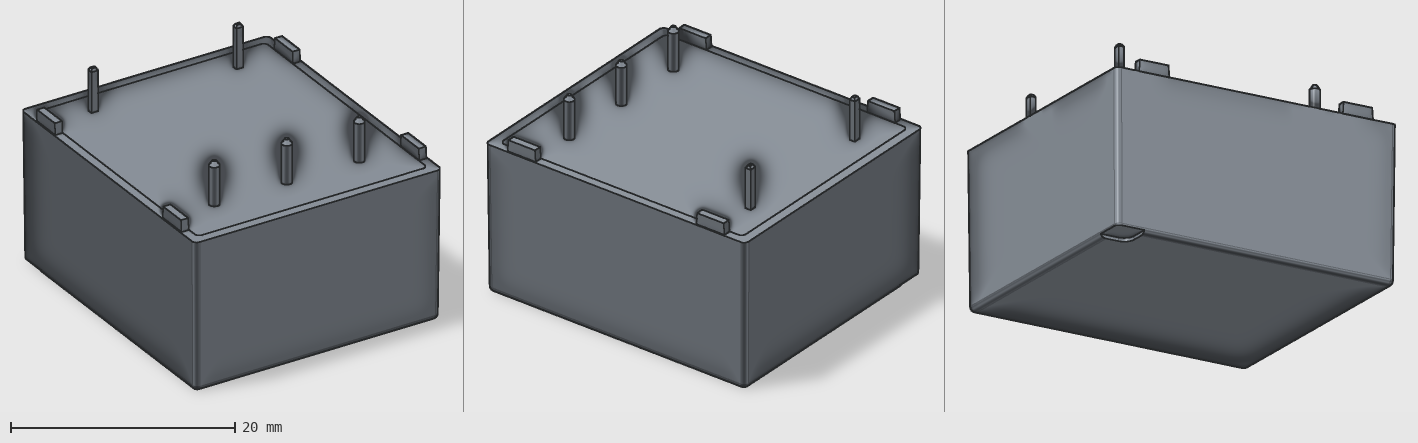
import cadquery as cq

LENGTH = 29.2
WIDTH = 26.0
HEIGHT = 15.27
DRAFT_ANGLE = 0.5
UPRIGHT_EDGE_RADIUS = 0.5
UNDERSIDE_RADIUS = 0.55

END_WALL = 1.0
SIDE_WALL = 0.9
FLOOR = END_WALL
CAVITY_RADIUS = UPRIGHT_EDGE_RADIUS

NOTCH_SIZE = 3.0
NOTCH_DEPTH = 0.35
NOTCH_RADIUS = 1.0

TAB_LENGTH = 3.15
TAB_TOP_LENGTH = 2.98
TAB_THICKNESS = 0.75
TAB_HEIGHT = 1.17
TAB_X = 10.6
TAB_INSET = 0.12

PIN_HEIGHT = 4.4
PIN_ROW_Y = 7.62
ROUND_PIN_X = 9.3
ROUND_PIN_DIAMETER = 1.0
ROUND_TIP_DIAMETER = 0.35
ROUND_TIP_HEIGHT = 0.47
FLAT_PIN_X = -11.07
FLAT_PIN_LENGTH = 0.58
FLAT_PIN_WIDTH = 0.7
FLAT_TIP_HEIGHT = 0.25
FLAT_TIP_INSET = 0.15


def make_shell():
    """Solid drafted block with rounded upright edges and a rounded underside."""
    return (
        cq.Workplane("XY")
        .workplane(offset=HEIGHT)
        .rect(LENGTH, WIDTH)
        .extrude(-HEIGHT, taper=DRAFT_ANGLE)
        .edges("not (<Z or >Z)")
        .fillet(UPRIGHT_EDGE_RADIUS)
        .faces("<Z")
        .edges()
        .fillet(UNDERSIDE_RADIUS)
    )


def make_base():
    """Block that fills the housing cavity up to the rim."""
    return (
        cq.Workplane("XY")
        .workplane(offset=FLOOR)
        .rect(LENGTH - 2 * END_WALL, WIDTH - 2 * SIDE_WALL)
        .extrude(HEIGHT - FLOOR)
        .edges("|Z")
        .fillet(CAVITY_RADIUS)
    )


def make_notch():
    """Cutter for the corner notch, rounded at its inner corner."""
    return (
        cq.Workplane("XY")
        .rect(2 * NOTCH_SIZE, 2 * NOTCH_SIZE)
        .extrude(NOTCH_DEPTH)
        .edges("|Z")
        .fillet(NOTCH_RADIUS)
        .translate((-LENGTH / 2, -WIDTH / 2, 0))
    )


def make_tab(x, side):
    """Trapezoidal tab on the rim; side is +1 or -1 along Y."""
    profile = [
        (x - TAB_LENGTH / 2, HEIGHT),
        (x + TAB_LENGTH / 2, HEIGHT),
        (x + TAB_TOP_LENGTH / 2, HEIGHT + TAB_HEIGHT),
        (x - TAB_TOP_LENGTH / 2, HEIGHT + TAB_HEIGHT),
    ]
    y_middle = side * (WIDTH / 2 - TAB_INSET - TAB_THICKNESS / 2)
    return (
        cq.Workplane("XZ", origin=(0, y_middle, 0))
        .polyline(profile)
        .close()
        .extrude(TAB_THICKNESS / 2, both=True)
    )


def make_housing():
    """Shell with the cavity, the corner notch and the four tabs."""
    housing = make_shell().cut(make_base()).cut(make_notch())
    for x in (-TAB_X, TAB_X):
        for side in (-1, 1):
            housing = housing.union(make_tab(x, side))
    return housing


def make_round_pin(y):
    """Cylindrical pin with a conical tip."""
    return (
        cq.Workplane("XY", origin=(ROUND_PIN_X, y, HEIGHT))
        .circle(ROUND_PIN_DIAMETER / 2)
        .extrude(PIN_HEIGHT)
        .faces(">Z")
        .edges()
        .chamfer(ROUND_TIP_HEIGHT, (ROUND_PIN_DIAMETER - ROUND_TIP_DIAMETER) / 2)
    )


def make_flat_pin(y):
    """Rectangular pin with a bevelled tip."""
    return (
        cq.Workplane("XY", origin=(FLAT_PIN_X, y, HEIGHT))
        .rect(FLAT_PIN_LENGTH, FLAT_PIN_WIDTH)
        .extrude(PIN_HEIGHT)
        .faces(">Z")
        .chamfer(FLAT_TIP_HEIGHT, FLAT_TIP_INSET)
    )


housing = make_housing()
base = make_base()
round_pins = [make_round_pin(y) for y in (-PIN_ROW_Y, 0, PIN_ROW_Y)]
flat_pins = [make_flat_pin(y) for y in (-PIN_ROW_Y, PIN_ROW_Y)]

bodies = [housing, base, *round_pins, *flat_pins]
result = cq.Compound.makeCompound([body.solids().val() for body in bodies])